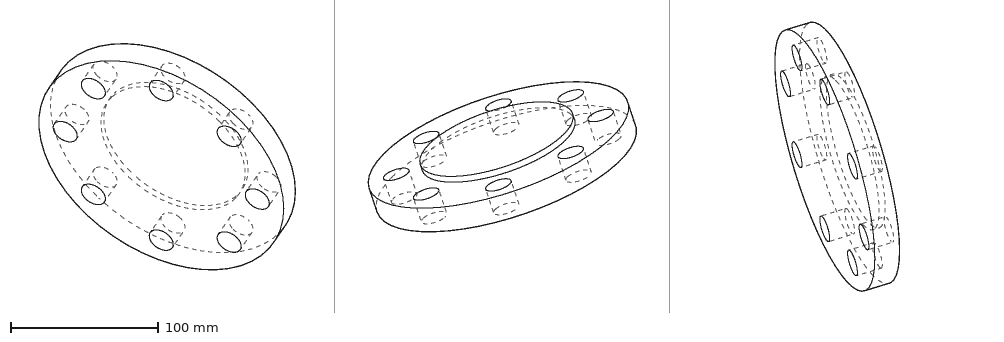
import cadquery as cq

flange_diameter = 185.0
total_thickness = 22.5
raised_face_height = 4.5
raised_face_diameter = 109.0
flange_thickness = total_thickness - raised_face_height

bolt_count = 8
bolt_circle_diameter = 145.0
bolt_hole_diameter = 18.1


def disc(diameter, start_y, thickness):
    """Round plate growing toward +Y from start_y."""
    plane = cq.Workplane("XZ", origin=(0, start_y, 0))
    return plane.circle(diameter / 2).extrude(-thickness)


def bolt_holes():
    """Ring of cylinders that pass through the flange."""
    return (
        cq.Workplane("XZ")
        .polarArray(bolt_circle_diameter / 2, 0, 360, bolt_count)
        .circle(bolt_hole_diameter / 2)
        .extrude(-flange_thickness)
    )


flange = disc(flange_diameter, 0, flange_thickness)
raised_face = disc(raised_face_diameter, flange_thickness, raised_face_height)

result = flange.union(raised_face).cut(bolt_holes())